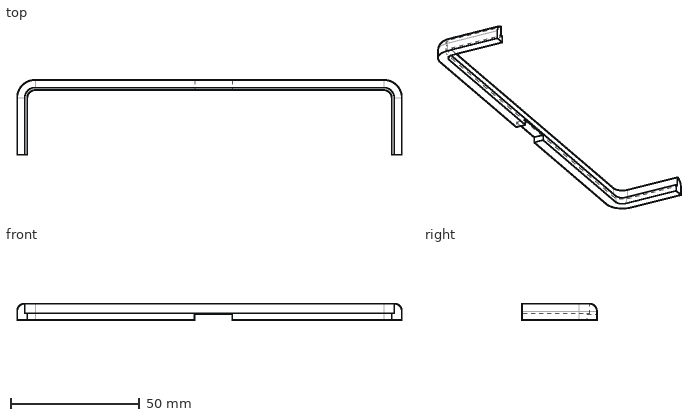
import cadquery as cq

length = 150.3
depth = 29.3
height = 6.5

wall_width = 3.0
ledge_width = 4.0
ledge_height = 2.7
edge_radius = wall_width

corner_radius = 7.0

notch_length = 14.6
notch_height = 2.3
notch_center_x = 1.5

half_length = length / 2
edge_center_z = height - edge_radius


def make_path():
    """Outer outline in plan, from the free end of the left leg to that of the right leg."""
    corner_y = depth - corner_radius
    corner_x = half_length - corner_radius
    return (
        cq.Workplane("XY")
        .moveTo(-half_length, 0)
        .lineTo(-half_length, corner_y)
        .radiusArc((-corner_x, depth), corner_radius)
        .lineTo(corner_x, depth)
        .radiusArc((half_length, corner_y), corner_radius)
        .lineTo(half_length, 0)
    )


def make_rim():
    """Sweep the cross-section, drawn at the left leg's free end, along the outline."""
    inner_x = wall_width - half_length
    ledge_x = ledge_width - half_length
    profile = (
        cq.Workplane("XZ")
        .moveTo(-half_length, 0)
        .lineTo(-half_length, edge_center_z)
        .radiusArc((inner_x, height), edge_radius)
        .lineTo(inner_x, ledge_height)
        .lineTo(ledge_x, ledge_height)
        .lineTo(ledge_x, 0)
        .close()
    )
    return profile.sweep(make_path())


def make_notch():
    """Cutter that crosses the full width of the long side."""
    return (
        cq.Workplane("XY")
        .box(notch_length, ledge_width, notch_height, centered=(True, False, False))
        .translate((notch_center_x, depth - ledge_width, 0))
    )


result = make_rim().cut(make_notch())